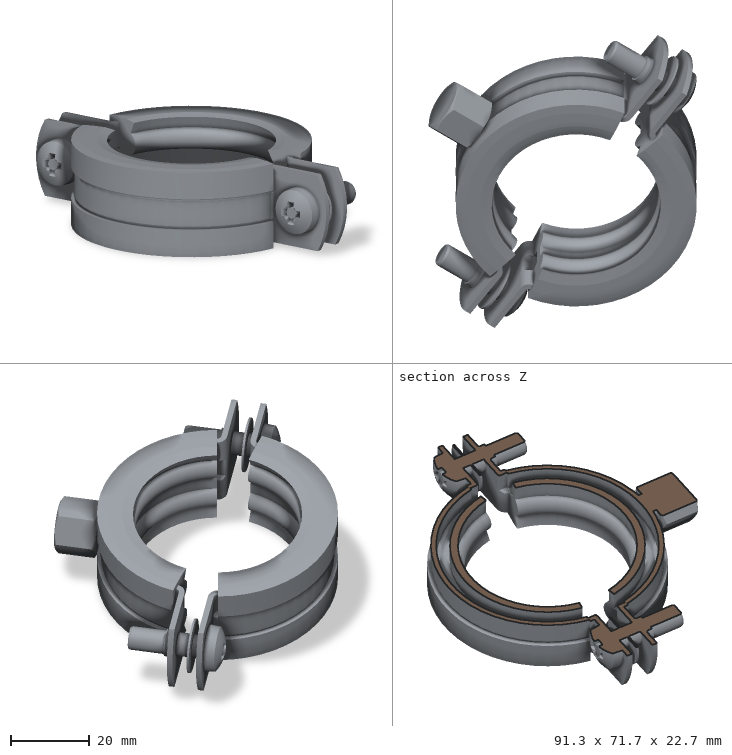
import cadquery as cq
import math


outer_radius = 30.6
lip_radius = 21.5
bulge_radius = 20.9
bore_radius = 22.9
height = 22.7
flat_inner_radius = 24.2
flat_outer_radius = 28.1
lip_drop = 0.5
rim_drop = 0.2
band_half_height = 2.1
bulge_height = 5.7
end_angle = 11

strap_thickness = 1.5
strap_outer_radius = 28.6
strap_inner_radius = strap_outer_radius - strap_thickness
bead_radius = 29.7
bead_inner_radius = bead_radius - strap_thickness
bead_root_half_height = 4.1
bead_top_half_height = 3.4
bead_shoulder = 0.3
hollow_radius = 24.8
hollow_floor_half_height = 2.65
hollow_half_height = 3.5
hollow_top_half_height = 2.7

lug_width = 20.1
lug_reach = 45.65
lug_corner_reach = 42.9
bend_radius = 1.2

bend_center_radius = strap_outer_radius + bend_radius
bend_center_x = bend_center_radius * math.cos(math.radians(end_angle))
bend_center_y = bend_center_radius * math.sin(math.radians(end_angle))
lug_outer_y = bend_center_y - bend_radius
lug_inner_y = lug_outer_y - strap_thickness

screw_x = 37.5
shank_radius = 6.0 / 2
shank_tip_radius = 5.5 / 2
shank_tip_length = 0.55
shank_end_y = 15.6
head_base_radius = 6.0
head_rim_radius = 5.75
head_rim_height = 2.7
head_height = 4.7
collar_radius = 7.0 / 2
collar_height = 1.7
collar_flare = 0.3
collar_flare_height = 0.5
washer_radius = 14.0 / 2
washer_thickness = 0.55
washer_y = -0.6

recess_span = 6.8
recess_post_span = 2.8
recess_arm_width = 2.0
recess_arm_depth = 2.6
recess_core_depth = 0.7
recess_core_span = 4.6

nut_corner_diameter = 15.1
nut_top_y = 41.1
nut_length = 10.8
nut_face_radius = 6.2
nut_chamfer_angle = 30
neck_radius = 4.2


def polar(radius, degrees, center=(0, 0)):
    angle = math.radians(degrees)
    return (center[0] + radius * math.cos(angle), center[1] + radius * math.sin(angle))


def sweep_half(section):
    """Revolve a radius-height section over the +Y half, between the two ring ends."""
    half = section.revolve(180 - 2 * end_angle, (0, 0, 0), (0, 1, 0))
    return half.rotate((0, 0, 0), (0, 0, 1), end_angle)


def ring_section():
    """Rubber cushion and strap together, in radius and height."""
    top = height / 2
    bulge_start = band_half_height
    bulge_mid = bulge_start + bulge_height / 2
    bulge_end = bulge_start + bulge_height
    shoulder_radius = bead_radius - bead_shoulder
    return (
        cq.Workplane("XZ")
        .moveTo(bore_radius, -bulge_start)
        .lineTo(bore_radius, bulge_start)
        .threePointArc((bulge_radius, bulge_mid), (bore_radius, bulge_end))
        .lineTo(lip_radius, top - lip_drop)
        .lineTo(flat_inner_radius, top)
        .lineTo(flat_outer_radius, top)
        .lineTo(outer_radius, top - rim_drop)
        .lineTo(outer_radius, bead_root_half_height)
        .lineTo(shoulder_radius, bead_root_half_height)
        .lineTo(bead_radius, bead_top_half_height)
        .lineTo(bead_radius, -bead_top_half_height)
        .lineTo(shoulder_radius, -bead_root_half_height)
        .lineTo(outer_radius, -bead_root_half_height)
        .lineTo(outer_radius, -top + rim_drop)
        .lineTo(flat_outer_radius, -top)
        .lineTo(flat_inner_radius, -top)
        .lineTo(lip_radius, -top + lip_drop)
        .lineTo(bore_radius, -bulge_end)
        .threePointArc((bulge_radius, -bulge_mid), (bore_radius, -bulge_start))
        .close()
    )


def hollow_section():
    """Empty space between the rubber and the inside of the bead."""
    return cq.Workplane("XZ").polyline([
        (hollow_radius, -hollow_floor_half_height),
        (hollow_radius, hollow_floor_half_height),
        (strap_inner_radius, hollow_half_height),
        (bead_inner_radius, hollow_top_half_height),
        (bead_inner_radius, -hollow_top_half_height),
        (strap_inner_radius, -hollow_half_height),
    ]).close()


def lug():
    """Lug on the +X side of the upper half, with its bend and the end of the bead."""
    bend_center = (bend_center_x, bend_center_y)
    bend_start = 180 + end_angle
    bend_mid = (bend_start + 270) / 2
    outside_radius = bend_radius + strap_thickness
    strip = (
        cq.Workplane("XY")
        .moveTo(*polar(bend_radius, bend_start, bend_center))
        .threePointArc(
            polar(bend_radius, bend_mid, bend_center),
            (bend_center_x, lug_outer_y),
        )
        .lineTo(lug_reach, lug_outer_y)
        .lineTo(lug_reach, lug_inner_y)
        .lineTo(bend_center_x, lug_inner_y)
        .threePointArc(
            polar(outside_radius, bend_mid, bend_center),
            polar(outside_radius, bend_start, bend_center),
        )
        .close()
        .extrude(lug_width / 2, both=True)
    )
    end_outline = (
        cq.Workplane("XZ")
        .moveTo(0, -lug_width / 2)
        .lineTo(lug_corner_reach, -lug_width / 2)
        .threePointArc((lug_reach, 0), (lug_corner_reach, lug_width / 2))
        .lineTo(0, lug_width / 2)
        .close()
        .extrude(-outer_radius)
    )
    bead_y = bead_radius * math.sin(math.radians(end_angle))
    hollow = hollow_section().extrude(-bead_y)
    bead_end = (
        cq.Workplane("XZ", origin=(0, lug_outer_y, 0))
        .polyline([
            (bead_inner_radius, -bead_root_half_height),
            (bead_radius, -bead_top_half_height),
            (bead_radius, bead_top_half_height),
            (bead_inner_radius, bead_root_half_height),
        ])
        .close()
        .extrude(lug_outer_y - bead_y)
    )
    return strip.intersect(end_outline).cut(hollow).union(bead_end)


def half_clamp():
    """The +Y half: ring plus a lug at each end."""
    ring = sweep_half(ring_section()).cut(sweep_half(hollow_section()))
    right_lug = lug()
    return ring.union(right_lug).union(right_lug.mirror("YZ"))


def octagon(span, depth):
    """Octagon square to the Y axis at y = depth, with flats facing X and Z."""
    return (
        cq.Workplane("XZ", origin=(0, depth, 0))
        .transformed(rotate=(0, 0, 360 / 16))
        .polygon(8, span, circumscribed=True)
    )


def cross_recess():
    """Cross recess opening at y = 0 toward -Y, with sloping arms around a central post."""
    taper_angle = math.degrees(
        math.atan((recess_core_span - recess_post_span) / 2 / recess_core_depth)
    )
    core = octagon(recess_core_span, 0).extrude(-recess_core_depth, taper=taper_angle)
    post = octagon(recess_post_span, recess_core_depth).extrude(-recess_arm_depth)
    arm_pair = (
        cq.Workplane("XY")
        .polyline([
            (-recess_span / 2, 0),
            (recess_span / 2, 0),
            (recess_post_span / 2, recess_arm_depth),
            (-recess_post_span / 2, recess_arm_depth),
        ])
        .close()
        .extrude(recess_arm_width / 2, both=True)
    )
    arms = arm_pair.union(arm_pair.rotate((0, 0, 0), (0, 1, 0), 90))
    return arms.cut(post).union(core)


def screw():
    """Pan-head screw on the Y axis with its washer and the lug's threaded collar."""
    head_base_y = -lug_outer_y
    head_top_y = head_base_y - head_height
    rim_y = head_base_y - head_rim_height
    dome_sphere_radius = (
        (head_rim_radius ** 2 + (rim_y - head_top_y) ** 2) / (2 * (rim_y - head_top_y))
    )
    dome_mid_x = head_rim_radius / 2
    dome_mid_y = (
        head_top_y + dome_sphere_radius - math.sqrt(dome_sphere_radius ** 2 - dome_mid_x ** 2)
    )
    body = (
        cq.Workplane("XY")
        .moveTo(0, head_top_y)
        .threePointArc((dome_mid_x, dome_mid_y), (head_rim_radius, rim_y))
        .lineTo(head_base_radius, head_base_y)
        .lineTo(shank_radius, head_base_y)
        .lineTo(shank_radius, shank_end_y - shank_tip_length)
        .lineTo(shank_tip_radius, shank_end_y)
        .lineTo(0, shank_end_y)
        .close()
        .revolve(360, (0, 0, 0), (0, 1, 0))
    )
    collar = (
        cq.Workplane("XY")
        .moveTo(0, lug_outer_y)
        .lineTo(collar_radius + collar_flare, lug_outer_y)
        .lineTo(collar_radius, lug_outer_y + collar_flare_height)
        .lineTo(collar_radius, lug_outer_y + collar_height)
        .lineTo(0, lug_outer_y + collar_height)
        .close()
        .revolve(360, (0, 0, 0), (0, 1, 0))
    )
    washer = (
        cq.Workplane("XZ", origin=(0, washer_y, 0))
        .circle(washer_radius)
        .extrude(washer_thickness / 2, both=True)
    )
    recess = cross_recess().translate((0, head_top_y, 0))
    return body.cut(recess).union(collar).union(washer)


def connection_nut():
    """Hex nut with both ends chamfered, and the neck that joins it to the bead."""
    base_y = nut_top_y - nut_length
    corner_radius = nut_corner_diameter / 2
    chamfer_drop = (corner_radius - nut_face_radius) * math.tan(math.radians(nut_chamfer_angle))
    hexagon = (
        cq.Workplane("XZ", origin=(0, base_y, 0))
        .polygon(6, nut_corner_diameter)
        .extrude(-nut_length)
    )
    chamfer_envelope = (
        cq.Workplane("XY")
        .moveTo(0, base_y)
        .lineTo(nut_face_radius, base_y)
        .lineTo(corner_radius, base_y + chamfer_drop)
        .lineTo(corner_radius, nut_top_y - chamfer_drop)
        .lineTo(nut_face_radius, nut_top_y)
        .lineTo(0, nut_top_y)
        .close()
        .revolve(360, (0, 0, 0), (0, 1, 0))
    )
    neck = (
        cq.Workplane("XZ", origin=(0, base_y, 0))
        .circle(neck_radius)
        .extrude(base_y - strap_outer_radius)
    )
    return hexagon.intersect(chamfer_envelope).union(neck)


upper_half = half_clamp()
result = upper_half.union(upper_half.mirror("XZ")).union(connection_nut())
for side in (-1, 1):
    result = result.union(screw().translate((side * screw_x, 0, 0)))